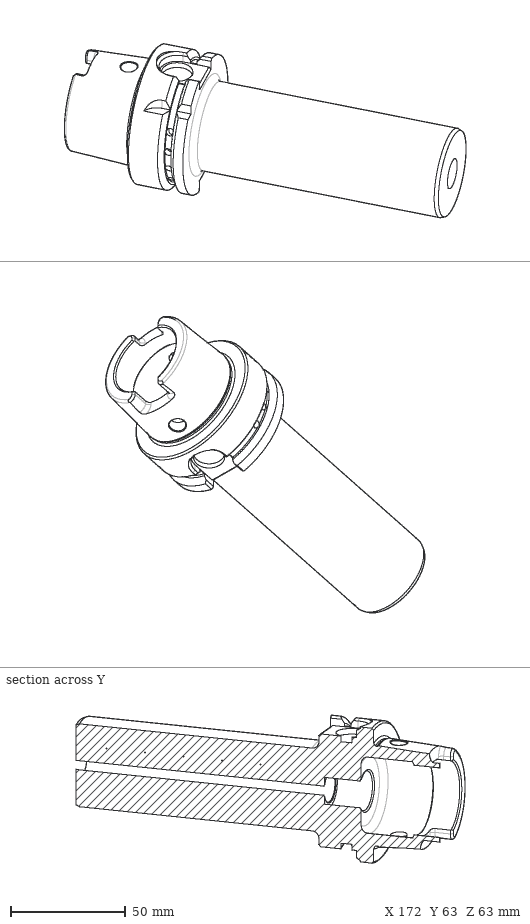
import cadquery as cq
import math


LENGTH = 172.0
SHANK_DIAMETER = 40.0
SHANK_RADIUS = SHANK_DIAMETER / 2
SHANK_END_CHAMFER = 1.7
SHANK_END_CHAMFER_DEPTH = 0.7
NECK_FILLET = 3.0

TAPER_MOUTH_RADIUS = 22.7
TAPER_BASE_RADIUS = 24.0
TAPER_END_X = 29.5
MOUTH_ROUND = 1.0
RELIEF_RADIUS = 23.7
RELIEF_START_X = 30.5
RELIEF_END_X = 31.3
RECESS_RADIUS = 25.0

FLANGE_RADIUS = 31.5
FLANGE_FRONT_X = 32.0
FLANGE_BACK_X = 58.0
FLANGE_CHAMFER = 0.9
GROOVE_CENTRE_X = 49.9
GROOVE_RADIUS = 27.3
GROOVE_FLOOR_WIDTH = 3.1
GROOVE_MOUTH_WIDTH = 7.2
GROOVE_FLANK_RADIUS = 28.5

BORE_RADIUS = 17.0
BORE_DEPTH = 37.8
BORE_MOUTH_CHAMFER = 0.7
BORE_FLOOR_FILLET = 3.0
UNDERCUT_X = 13.0
UNDERCUT_RADIUS = 18.4
UNDERCUT_ANGLE = 60
THREAD_RADIUS = 8.8
THREAD_DEPTH = 17.2
THREAD_CHAMFER = 0.7
THROUGH_RADIUS = 6.7
THROUGH_CHAMFER = 0.3

MOUTH_SLOT_HALF_WIDTH = 6.4
MOUTH_SLOT_FLARE = 3.3
MOUTH_SLOT_FLARE_Z = 17.5
MOUTH_SLOT_ROOT_FILLET = 1.7
MOUTH_SLOT_EDGE_CHAMFER = 1.0
UPPER_SLOT_DEPTH = 5.8
LOWER_SLOT_DEPTH = 10.0

CROSS_HOLE_X = 22.7
CROSS_HOLE_RADIUS = 3.6
CROSS_HOLE_CHAMFER = 0.3
CROSS_HOLE_RIM_REACH = 5.2

KEY_SLOT_X = 44.9
KEY_SLOT_HALF_WIDTH = 7.9
KEY_SLOT_FLOOR_Z = 25.8
KEY_SLOT_CHAMFER = 1.2
KEY_SLOT_CHAMFER_Z = 29.0
KEY_SLOT_FLOOR_CHAMFER = 1.0
KEY_POCKET_RADIUS = 6.9
KEY_POCKET_DEPTH = 2.5

NOTCH_OFFSET = 20.0
NOTCH_END_RADIUS = 7.5
NOTCH_STRAIGHT_X = 44.5

BALANCE_HOLE_RADIUS = 1.63
BALANCE_HOLE_DEPTH = 3.5
BALANCE_HOLE_OVERRUN = 0.5
BALANCE_HOLE_ANGLES = (25, 5, -15, -35)

CLEAR = 8.6


def turned_body():
    floor_half = GROOVE_FLOOR_WIDTH / 2
    mouth_half = GROOVE_MOUTH_WIDTH / 2
    neck_centre = (FLANGE_BACK_X + NECK_FILLET, SHANK_RADIUS + NECK_FILLET)
    diagonal = NECK_FILLET * math.sqrt(0.5)
    profile = (
        cq.Workplane("XY")
        .moveTo(0, 0)
        .lineTo(0, TAPER_MOUTH_RADIUS - MOUTH_ROUND)
        .radiusArc((MOUTH_ROUND, TAPER_MOUTH_RADIUS), MOUTH_ROUND)
        .lineTo(TAPER_END_X, TAPER_BASE_RADIUS)
        .lineTo(RELIEF_START_X, RELIEF_RADIUS)
        .lineTo(RELIEF_END_X, RELIEF_RADIUS)
        .lineTo(FLANGE_FRONT_X, RECESS_RADIUS)
        .lineTo(FLANGE_FRONT_X, FLANGE_RADIUS - FLANGE_CHAMFER)
        .lineTo(FLANGE_FRONT_X + FLANGE_CHAMFER, FLANGE_RADIUS)
        .lineTo(GROOVE_CENTRE_X - mouth_half, FLANGE_RADIUS)
        .lineTo(GROOVE_CENTRE_X - floor_half, GROOVE_FLANK_RADIUS)
        .lineTo(GROOVE_CENTRE_X - floor_half, GROOVE_RADIUS)
        .lineTo(GROOVE_CENTRE_X + floor_half, GROOVE_RADIUS)
        .lineTo(GROOVE_CENTRE_X + floor_half, GROOVE_FLANK_RADIUS)
        .lineTo(GROOVE_CENTRE_X + mouth_half, FLANGE_RADIUS)
        .lineTo(FLANGE_BACK_X, FLANGE_RADIUS)
        .lineTo(FLANGE_BACK_X, neck_centre[1])
        .threePointArc(
            (neck_centre[0] - diagonal, neck_centre[1] - diagonal),
            (neck_centre[0], SHANK_RADIUS),
        )
        .lineTo(LENGTH - SHANK_END_CHAMFER, SHANK_RADIUS)
        .lineTo(LENGTH, SHANK_RADIUS - SHANK_END_CHAMFER_DEPTH)
        .lineTo(LENGTH, 0)
        .close()
    )
    return profile.revolve(360, (0, 0, 0), (1, 0, 0))


def stepped_bore():
    undercut_run = (UNDERCUT_RADIUS - BORE_RADIUS) / math.tan(math.radians(UNDERCUT_ANGLE))
    thread_end = BORE_DEPTH + THREAD_DEPTH
    profile = (
        cq.Workplane("XY")
        .moveTo(0, 0)
        .lineTo(0, BORE_RADIUS + BORE_MOUTH_CHAMFER)
        .lineTo(BORE_MOUTH_CHAMFER, BORE_RADIUS)
        .lineTo(UNDERCUT_X, BORE_RADIUS)
        .lineTo(UNDERCUT_X + undercut_run, UNDERCUT_RADIUS)
        .lineTo(BORE_DEPTH - BORE_FLOOR_FILLET, UNDERCUT_RADIUS)
        .radiusArc((BORE_DEPTH, UNDERCUT_RADIUS - BORE_FLOOR_FILLET), BORE_FLOOR_FILLET)
        .lineTo(BORE_DEPTH, THREAD_RADIUS + THREAD_CHAMFER)
        .lineTo(BORE_DEPTH + THREAD_CHAMFER, THREAD_RADIUS)
        .lineTo(thread_end, THREAD_RADIUS)
        .lineTo(thread_end, THROUGH_RADIUS + THROUGH_CHAMFER)
        .lineTo(thread_end + THROUGH_CHAMFER, THROUGH_RADIUS)
        .lineTo(LENGTH, THROUGH_RADIUS)
        .lineTo(LENGTH, 0)
        .close()
    )
    return profile.revolve(360, (0, 0, 0), (1, 0, 0))


def mouth_slot_outline(start, x, growth):
    """Slot section at x, widened by growth, with its outer corners rounded over."""
    half = MOUTH_SLOT_HALF_WIDTH + growth
    flare_radius = MOUTH_SLOT_FLARE - growth
    flare_half = half + flare_radius
    flare_top = MOUTH_SLOT_FLARE_Z + flare_radius
    top = TAPER_MOUTH_RADIUS + CLEAR
    return (
        start.workplane(offset=x)
        .moveTo(-half, 0)
        .lineTo(half, 0)
        .lineTo(half, MOUTH_SLOT_FLARE_Z)
        .radiusArc((flare_half, flare_top), flare_radius)
        .lineTo(flare_half, top)
        .lineTo(-flare_half, top)
        .lineTo(-flare_half, flare_top)
        .radiusArc((-half, MOUTH_SLOT_FLARE_Z), flare_radius)
        .close()
    )


def mouth_slot(depth):
    """Cutter for one drive slot through the upper wall, with filleted root and chamfered mouth."""
    slot = mouth_slot_outline(cq.Workplane("YZ"), 0, 0).extrude(depth)
    slot = slot.faces(">X").edges("not(#Z and (>Z or <Z))").fillet(MOUTH_SLOT_ROOT_FILLET)
    mouth = mouth_slot_outline(cq.Workplane("YZ"), 0, MOUTH_SLOT_EDGE_CHAMFER)
    mouth = mouth_slot_outline(mouth, MOUTH_SLOT_EDGE_CHAMFER, 0).loft(ruled=True)
    return slot.union(mouth)


def drill_cross_hole(body):
    """Drill through both taper walls and chamfer the outer rims."""
    hole = cq.Workplane("XY").center(CROSS_HOLE_X, 0).circle(CROSS_HOLE_RADIUS)
    body = body.cut(hole.extrude(FLANGE_RADIUS, both=True))
    for side in (1, -1):
        rim_zone = cq.selectors.BoxSelector(
            (CROSS_HOLE_X - CROSS_HOLE_RIM_REACH, -CROSS_HOLE_RIM_REACH, side * TAPER_MOUTH_RADIUS),
            (CROSS_HOLE_X + CROSS_HOLE_RIM_REACH, CROSS_HOLE_RIM_REACH, side * FLANGE_RADIUS),
            boundingbox=True,
        )
        body = body.edges(rim_zone).chamfer(CROSS_HOLE_CHAMFER)
    return body


def slot_outline(half_width, z):
    """Round-ended slot outline running out through the back of the flange."""
    run_out_x = FLANGE_BACK_X + CLEAR
    return (
        cq.Workplane("XY", origin=(0, 0, z))
        .moveTo(run_out_x, half_width)
        .lineTo(KEY_SLOT_X, half_width)
        .threePointArc((KEY_SLOT_X - half_width, 0), (KEY_SLOT_X, -half_width))
        .lineTo(run_out_x, -half_width)
        .close()
    )


def key_slot():
    """Upper key slot cutter: straight walls, flared mouth, round pocket and chamfered floor end."""
    height = FLANGE_RADIUS - KEY_SLOT_FLOOR_Z
    slot = slot_outline(KEY_SLOT_HALF_WIDTH, KEY_SLOT_FLOOR_Z).extrude(height)
    flare = slot_outline(KEY_SLOT_HALF_WIDTH, KEY_SLOT_CHAMFER_Z).extrude(KEY_SLOT_CHAMFER, taper=-45)
    mouth_z = KEY_SLOT_CHAMFER_Z + KEY_SLOT_CHAMFER
    mouth = slot_outline(KEY_SLOT_HALF_WIDTH + KEY_SLOT_CHAMFER, mouth_z).extrude(height)
    pocket = (
        cq.Workplane("XY", origin=(KEY_SLOT_X, 0, KEY_SLOT_FLOOR_Z - KEY_POCKET_DEPTH))
        .circle(KEY_POCKET_RADIUS)
        .extrude(height)
    )
    floor_end = (
        cq.Workplane("XZ")
        .moveTo(FLANGE_BACK_X - KEY_SLOT_FLOOR_CHAMFER, KEY_SLOT_FLOOR_Z)
        .lineTo(FLANGE_BACK_X, KEY_SLOT_FLOOR_Z)
        .lineTo(FLANGE_BACK_X, KEY_SLOT_FLOOR_Z - KEY_SLOT_FLOOR_CHAMFER)
        .close()
        .extrude(KEY_SLOT_HALF_WIDTH, both=True)
    )
    return slot.union(flare).union(mouth).union(pocket).union(floor_end)


def orientation_notch():
    """Corner notch with a flat floor, a flat side wall and a rounded front end."""
    size = FLANGE_RADIUS
    straight = cq.Workplane("XY").box(FLANGE_BACK_X - NOTCH_STRAIGHT_X, size, size, centered=False)
    straight = straight.translate((NOTCH_STRAIGHT_X, -NOTCH_OFFSET - size, NOTCH_OFFSET))
    rounded = (
        cq.Workplane("XY", origin=(NOTCH_STRAIGHT_X, -NOTCH_OFFSET - NOTCH_END_RADIUS, NOTCH_OFFSET))
        .circle(NOTCH_END_RADIUS)
        .extrude(size)
    )
    return straight.union(rounded)


def balance_hole(angle):
    """Radial hole in the groove floor, its angle measured from -Y towards +Z."""
    hole = (
        cq.Workplane("XZ", origin=(GROOVE_CENTRE_X, BALANCE_HOLE_DEPTH - GROOVE_RADIUS, 0))
        .circle(BALANCE_HOLE_RADIUS)
        .extrude(BALANCE_HOLE_DEPTH + BALANCE_HOLE_OVERRUN)
    )
    return hole.rotate((0, 0, 0), (1, 0, 0), -angle)


def turned_over(cutter):
    return cutter.rotate((0, 0, 0), (1, 0, 0), 180)


result = turned_body().cut(stepped_bore())
result = result.cut(mouth_slot(UPPER_SLOT_DEPTH))
result = result.cut(turned_over(mouth_slot(LOWER_SLOT_DEPTH)))

result = drill_cross_hole(result)

result = result.cut(key_slot())
result = result.cut(turned_over(key_slot()))
result = result.cut(orientation_notch())
for hole_angle in BALANCE_HOLE_ANGLES:
    result = result.cut(balance_hole(hole_angle))